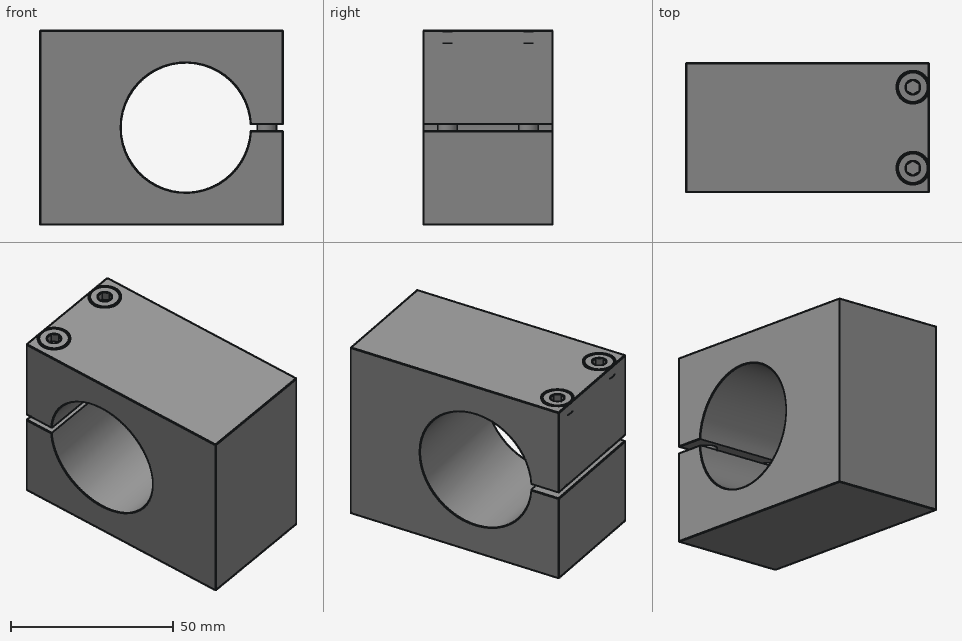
import cadquery as cq
import math

LENGTH = 75.0
WIDTH = 40.0
HEIGHT = 60.0
EDGE_CHAMFER = 0.2
MID_Z = HEIGHT / 2

BORE_DIAMETER = 40.0
BORE_X = 45.0
BORE_CHAMFER = EDGE_CHAMFER
SLIT_HEIGHT = 2.0

COUNTERBORE_DIAMETER = 9.8
CLEARANCE_DIAMETER = 6.15
COUNTERBORE_DEPTH = 4.0
RIM_ANGLE = 45
HEAD_SEAT_Z = HEIGHT - COUNTERBORE_DEPTH

SIDE_WALL = 0.09
SCREW_X = LENGTH - SIDE_WALL - COUNTERBORE_DIAMETER / 2
SCREW_SPACING = 25.0
SCREW_YS = (-SCREW_SPACING / 2, SCREW_SPACING / 2)

SHANK_DIAMETER = 6.0
SHANK_TIP_Z = 10.0
HEAD_DIAMETER = COUNTERBORE_DIAMETER
HEAD_CHAMFER = 0.4
SOCKET_FLATS = 4.0
SOCKET_CORNERS = SOCKET_FLATS / math.cos(math.pi / 6)
SOCKET_DEPTH = 3.0
SOCKET_MOUTH_DIAMETER = 4.65
SOCKET_MOUTH_ANGLE = 60


def cylinder(diameter, bottom_z, top_z):
    """Vertical cylinder on the Z axis between two heights."""
    return cq.Workplane("XY").workplane(offset=bottom_z).circle(diameter / 2).extrude(top_z - bottom_z)


def top_cone(top_diameter, bottom_diameter, angle):
    """Cone narrowing downward from the top of the block; the angle is from vertical, in degrees."""
    depth = (top_diameter - bottom_diameter) / 2 / math.tan(math.radians(angle))
    return cq.Workplane("XY").workplane(offset=HEIGHT).circle(top_diameter / 2).extrude(-depth, taper=angle)


def make_slit_block():
    """Block cut by the slit, with all edges chamfered except at the slit end inside the bore."""
    block = cq.Workplane("XY").box(LENGTH, WIDTH, HEIGHT, centered=(False, True, False))
    slit = (
        cq.Workplane("XY")
        .box(LENGTH - BORE_X, WIDTH, SLIT_HEIGHT, centered=(False, True, True))
        .translate((BORE_X, 0, MID_Z))
    )
    block = block.cut(slit)
    outer_edges = [edge for edge in block.edges().vals() if abs(edge.Center().x - BORE_X) > EDGE_CHAMFER]
    return block.newObject(outer_edges).chamfer(EDGE_CHAMFER)


def make_bore():
    """Cutter for the round bore, flared at both mouths."""
    radius = BORE_DIAMETER / 2
    flared_radius = radius + BORE_CHAMFER
    half_width = WIDTH / 2
    profile = [
        (0, -half_width),
        (flared_radius, -half_width),
        (radius, -half_width + BORE_CHAMFER),
        (radius, half_width - BORE_CHAMFER),
        (flared_radius, half_width),
        (0, half_width),
    ]
    bore = cq.Workplane("XY").polyline(profile).close().revolve(360, (0, 0, 0), (0, 1, 0))
    return bore.translate((BORE_X, 0, MID_Z))


def make_screw_hole():
    """Cutter for one screw: chamfered counterbore, clearance hole down to mid-height, snug hole below it."""
    counterbore = cylinder(COUNTERBORE_DIAMETER, HEAD_SEAT_Z, HEIGHT)
    rim = top_cone(COUNTERBORE_DIAMETER + 2 * EDGE_CHAMFER, COUNTERBORE_DIAMETER, RIM_ANGLE)
    clearance = cylinder(CLEARANCE_DIAMETER, MID_Z, HEAD_SEAT_Z)
    threaded = cylinder(SHANK_DIAMETER, SHANK_TIP_Z, MID_Z)
    return counterbore.union(rim).union(clearance).union(threaded)


def make_block():
    block = make_slit_block().cut(make_bore())
    for screw_y in SCREW_YS:
        block = block.cut(make_screw_hole().translate((SCREW_X, screw_y, 0)))
    return block


def make_screw(screw_y):
    """Cap screw with a hexagon socket whose corners point along Y."""
    head = cylinder(HEAD_DIAMETER, HEAD_SEAT_Z, HEIGHT).faces(">Z").edges().chamfer(HEAD_CHAMFER)
    screw = head.union(cylinder(SHANK_DIAMETER, SHANK_TIP_Z, HEAD_SEAT_Z))
    socket = (
        cq.Workplane("XY")
        .workplane(offset=HEIGHT - SOCKET_DEPTH)
        .polygon(6, SOCKET_CORNERS)
        .extrude(SOCKET_DEPTH)
        .rotate((0, 0, 0), (0, 0, 1), 90)
    )
    mouth = top_cone(SOCKET_MOUTH_DIAMETER, SOCKET_FLATS, SOCKET_MOUTH_ANGLE)
    return screw.cut(socket).cut(mouth).translate((SCREW_X, screw_y, 0))


block = make_block()
screws = [make_screw(screw_y) for screw_y in SCREW_YS]

result = cq.Compound.makeCompound([block.val(), *[screw.val() for screw in screws]])